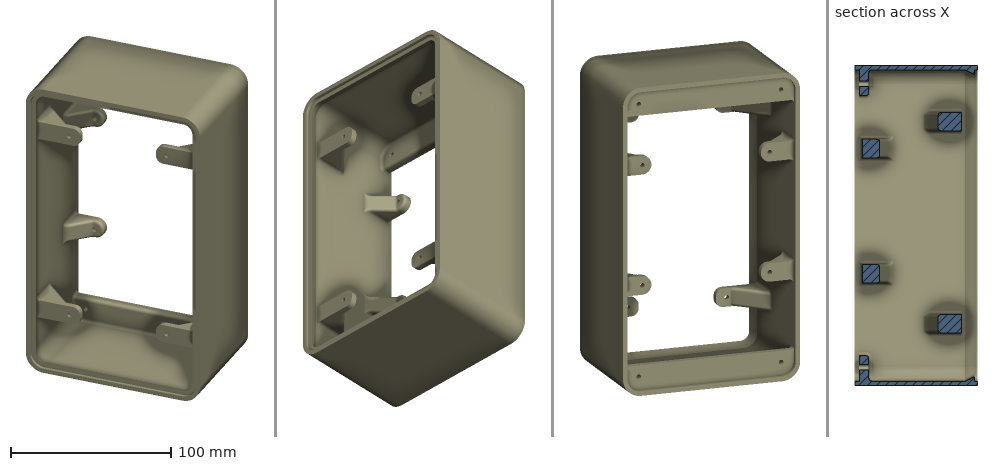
import cadquery as cq
width = 117.9
depth = 77.0
height = 199.8
corner_radius = 12.0
wall = 3.0
front_y = -depth / 2
back_y = depth / 2
inner_x = width / 2 - wall

rebate_width = 3.0
rebate_depth = 2.0
lip_inset = 6.0
lip_slope_length = 6.0

hole_diameter = 3.0
blend_radius = 2.0
root_thickness = 2.0
slack = 0.02

flange_height = 19.0
flange_thickness = 6.0
flange_recess = 3.0
flange_back_y = back_y - flange_recess
flange_front_y = flange_back_y - flange_thickness
flange_hole_inset = 11.5
flange_hole_x = width / 2 - flange_hole_inset
flange_hole_z = height / 2 - flange_hole_inset

bracket_recess = 10.0
bracket_thickness = 4.0
bracket_height = 12.0
bracket_tip_radius = 4.8
bracket_tip_margin = 7.2
gusset_leg = 19.5
bracket_hole_left = 33.5
bracket_hole_right = 32.2
bracket_levels = (64.7, -61.1)
bracket_front_y = front_y + bracket_recess
bracket_back_y = bracket_front_y + bracket_thickness

boss_front_y = 28.0
boss_thickness = 5.5
boss_radius = 6.0
boss_edge_radius = 1.8
boss_pad_width = 1.4
boss_slope_rise = 14.0
boss_hole_left = 40.5
boss_hole_right = 44.2
boss_levels = (48.0, -30.0)
boss_back_y = boss_front_y + boss_thickness
boss_slope_end_y = boss_front_y - boss_slope_rise


def box_around(x, y, z, x_size, y_size, z_size):
    """Selector for edges whose middle lies in a box, with a little slack."""
    middle = cq.Vector(x, y, z)
    half = cq.Vector(x_size / 2 + slack, y_size / 2 + slack, z_size / 2 + slack)
    return cq.selectors.BoxSelector((middle - half).toTuple(), (middle + half).toTuple())


def outline(inset, y):
    """Rounded rectangle of the frame, moved inward by inset, in the plane at y."""
    return (
        cq.Sketch()
        .rect(width - 2 * inset, height - 2 * inset)
        .vertices()
        .fillet(corner_radius - inset)
        .moved(cq.Location(cq.Vector(0, 0, -y)))
    )


def frame_prism(inset, start_y, end_y):
    """Straight block with the inset frame outline between two depths."""
    return cq.Workplane("XZ").placeSketch(outline(inset, start_y)).extrude(start_y - end_y)


def hole(x, z):
    """Drill along Y through the whole depth."""
    plane = cq.Workplane("XZ", origin=(x, front_y, z))
    return plane.circle(hole_diameter / 2).extrude(-depth)


def make_frame():
    """Hollow frame with the rebate and the sloped lip at the front."""
    ledge_y = front_y + rebate_depth
    slope_end_y = ledge_y + lip_slope_length
    lip_opening = (
        cq.Workplane("XZ")
        .placeSketch(outline(lip_inset, ledge_y), outline(wall, slope_end_y))
        .loft()
    )
    return (
        frame_prism(0, front_y, back_y)
        .cut(frame_prism(rebate_width, front_y, ledge_y))
        .cut(lip_opening)
        .cut(frame_prism(wall, slope_end_y, back_y))
    )


def add_flanges(frame):
    """Add both flanges with blended front edges, blended ends and four holes."""
    opening_height = height - 2 * flange_height
    opening = cq.Workplane("XY").box(width, depth, opening_height)
    flanges = frame_prism(wall / 2, flange_front_y, flange_back_y).cut(opening)

    blended_edges = box_around(0, flange_front_y, 0, width, 0, height)
    middle_y = (flange_front_y + flange_back_y) / 2
    for wall_x in (-inner_x, inner_x):
        for free_face_z in (-opening_height / 2, opening_height / 2):
            blended_edges += box_around(wall_x, middle_y, free_face_z, 0, 0, 0)
    body = frame.union(flanges).edges(blended_edges).fillet(blend_radius)

    for x in (-flange_hole_x, flange_hole_x):
        for z in (-flange_hole_z, flange_hole_z):
            body = body.cut(hole(x, z))
    return body


def blend_to_wall(mount, start_y, end_y, z_size):
    """Fillet where a mount meets the right-hand wall, except along its front edge."""
    root_length = end_y - start_y + 2 * blend_radius
    root = (
        cq.Workplane("XY")
        .box(root_thickness, root_length, 2 * z_size, centered=(False, False, True))
        .translate((inner_x, start_y, 0))
    )
    behind_front_y = start_y + 2 * slack
    middle_y = (behind_front_y + end_y) / 2
    wall_edges = box_around(inner_x, middle_y, 0, 0, end_y - behind_front_y, z_size)
    return mount.union(root).edges(wall_edges).fillet(blend_radius)


def make_bracket(hole_x):
    """Bracket on the right-hand wall, centred on Z = 0."""
    tip_x = hole_x - bracket_tip_margin
    gusset_end_y = bracket_back_y + gusset_leg
    bracket = (
        cq.Workplane("XY", origin=(0, 0, -bracket_height / 2))
        .moveTo(tip_x, bracket_front_y)
        .lineTo(inner_x, bracket_front_y)
        .lineTo(inner_x, gusset_end_y)
        .lineTo(inner_x - gusset_leg, bracket_back_y)
        .lineTo(tip_x, bracket_back_y)
        .close()
        .extrude(bracket_height)
        .edges("|Y and <X")
        .fillet(bracket_tip_radius)
    )
    gusset_middle_x = inner_x - gusset_leg / 2
    gusset_middle_y = bracket_back_y + gusset_leg / 2
    gusset_edges = box_around(gusset_middle_x, gusset_middle_y, 0, 0, 0, bracket_height)
    bracket = bracket.edges(gusset_edges).fillet(blend_radius)
    bracket = blend_to_wall(bracket, bracket_front_y, gusset_end_y, bracket_height)
    return bracket.cut(hole(hole_x, 0))


def make_boss(hole_x):
    """Wedge boss on the right-hand wall, centred on Z = 0."""
    tip_x = hole_x - boss_radius
    slope_start_x = hole_x + boss_pad_width
    boss_height = 2 * boss_radius
    wedge = (
        cq.Workplane("XY", origin=(0, 0, -boss_radius))
        .moveTo(tip_x, boss_front_y)
        .lineTo(slope_start_x, boss_front_y)
        .lineTo(inner_x, boss_slope_end_y)
        .lineTo(inner_x, boss_back_y)
        .lineTo(tip_x, boss_back_y)
        .close()
        .extrude(boss_height)
        .edges(box_around(slope_start_x, boss_front_y, 0, 0, 0, 0))
        .fillet(blend_radius)
    )
    round_ended_bar = (
        cq.Workplane("XZ", origin=(0, back_y, 0))
        .moveTo(inner_x, boss_radius)
        .lineTo(hole_x, boss_radius)
        .threePointArc((tip_x, 0), (hole_x, -boss_radius))
        .lineTo(inner_x, -boss_radius)
        .close()
        .extrude(depth)
    )
    boss = wedge.intersect(round_ended_bar)
    boss = blend_to_wall(boss, boss_slope_end_y, boss_back_y, boss_height)

    front_rim = cq.selectors.BoxSelector(
        (tip_x - slack, boss_slope_end_y, -boss_radius - slack),
        (inner_x - slack, boss_front_y + slack, boss_radius + slack),
    )
    boss = boss.edges(front_rim).edges("not |Z").fillet(boss_edge_radius)
    return boss.cut(hole(hole_x, 0))


def add_mounts(body, right_mount, mirrored_left_mount, levels):
    """Place a mount on each side wall at every level."""
    left_mount = mirrored_left_mount.mirror("YZ")
    for level in levels:
        body = body.union(right_mount.translate((0, 0, level)))
        body = body.union(left_mount.translate((0, 0, level)))
    return body


result = add_flanges(make_frame())
result = add_mounts(
    result, make_bracket(bracket_hole_right), make_bracket(bracket_hole_left), bracket_levels
)
result = add_mounts(result, make_boss(boss_hole_right), make_boss(boss_hole_left), boss_levels)